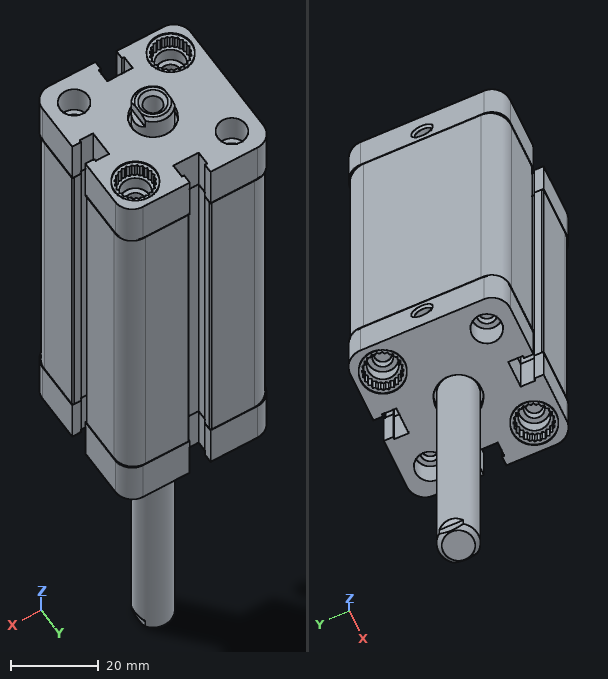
import cadquery as cq
import math

ROD_LENGTH = 201.0
ROD_TOP_PROJECTION = 5.8
HOUSING_LENGTH = 114.2
CAP_HEIGHT = 12.5
HOUSING_TOP = ROD_LENGTH - ROD_TOP_PROJECTION
HOUSING_CENTER = HOUSING_TOP - HOUSING_LENGTH / 2
BARREL_LENGTH = HOUSING_LENGTH - 2 * CAP_HEIGHT
BARREL_TOP = HOUSING_TOP - CAP_HEIGHT
BARREL_BOTTOM = BARREL_TOP - BARREL_LENGTH

CAP_WIDTH = 40.2
CAP_CORNER_RADIUS = 4.6
BARREL_WIDTH = 40.0
BARREL_CORNER_RADIUS = 5.2

SLOT_ANGLES = (0, 90, 270)
SLOT_FLOOR = CAP_WIDTH / 2 - 6.0
SLOT_LIP_DEPTH = 2.5
SLOT_MOUTH_WIDTH = 5.6
SLOT_INNER_WIDTH = 6.8
BARREL_MOUTH_CHAMFER = 0.5

ROD_DIAMETER = 10.0
ROD_TOP_CHAMFER = 0.8
ROD_BOTTOM_CHAMFER = 1.2
FLATS_WIDTH = 8.0
FLAT_LENGTH = 3.2
ROD_HOLE_DIAMETER = 4.8
ROD_HOLE_DEPTH = 12.0
ROD_HOLE_CHAMFER = 1.0

RECESS_DIAMETER = 11.5
RECESS_DEPTH = 2.0

CORNER_OFFSET = 13.0
CORNER_BORE_DIAMETER = 7.5
CORNER_BORE_DEPTH = 8.0
TAPER_TOP_DIAMETER = 4.8
TAPER_BOTTOM_DIAMETER = 4.2
TAPER_DEPTH = 2.0

TOOTH_COUNT = 24
TOOTH_ROOT_DIAMETER = 9.6
TOOTH_TIP_DIAMETER = 8.8
TOOTH_DEPTH = 4.0
SOCKET_STEP_DIAMETER = 11.0
SOCKET_STEP_DEPTH = 0.5

PORT_DIAMETER = 4.2
PORT_DEPTH = 8.0
PORT_CHAMFER = 0.6
PORT_FROM_END = 7.8


def disc(diameter, bottom, top, x=0.0, y=0.0):
    """Upright cylinder between two heights."""
    return cq.Workplane("XY", origin=(x, y, bottom)).circle(diameter / 2).extrude(top - bottom)


def cone(bottom_diameter, top_diameter, bottom, top, x=0.0, y=0.0):
    """Upright truncated cone between two heights."""
    base = cq.Vector(x, y, bottom)
    return cq.Workplane(cq.Solid.makeCone(bottom_diameter / 2, top_diameter / 2, top - bottom, base))


def prism(half_outline, bottom, top):
    """Upright prism from an outline on the +Y side of the X axis, mirrored to the -Y side."""
    other_half = [(x, -y) for x, y in reversed(half_outline)]
    plane = cq.Workplane("XY", origin=(0, 0, bottom))
    return plane.polyline(half_outline + other_half).close().extrude(top - bottom)


def cut_on_slot_sides(block, cutter):
    """Cut the block with a +X side cutter, turned to every side that has a slot."""
    for angle in SLOT_ANGLES:
        block = block.cut(cutter.rotate((0, 0, 0), (0, 0, 1), angle))
    return block


def slotted_block(width, corner_radius, bottom, top):
    """Rounded square block with slots on three sides and a hole that fits the rod."""
    block = cq.Workplane("XY", origin=(0, 0, bottom)).rect(width, width).extrude(top - bottom)
    block = block.edges("|Z").fillet(corner_radius)
    lip = CAP_WIDTH / 2 - SLOT_LIP_DEPTH
    slot_outline = [
        (SLOT_FLOOR, SLOT_INNER_WIDTH / 2),
        (lip, SLOT_INNER_WIDTH / 2),
        (lip, SLOT_MOUTH_WIDTH / 2),
        (width / 2, SLOT_MOUTH_WIDTH / 2),
    ]
    block = cut_on_slot_sides(block, prism(slot_outline, bottom, top))
    return block.cut(disc(ROD_DIAMETER, bottom, top))


def corner_hole(x, y):
    """Plain round hole with the tapered hole below it."""
    floor = HOUSING_TOP - CORNER_BORE_DEPTH
    bore = disc(CORNER_BORE_DIAMETER, floor, HOUSING_TOP, x, y)
    return bore.union(cone(TAPER_BOTTOM_DIAMETER, TAPER_TOP_DIAMETER, floor - TAPER_DEPTH, floor, x, y))


def toothed_socket(x, y):
    """Internally toothed socket below a shallow round step."""
    points = []
    for i in range(TOOTH_COUNT):
        for diameter, half_pitches in ((TOOTH_TIP_DIAMETER, 2 * i), (TOOTH_ROOT_DIAMETER, 2 * i + 1)):
            angle = math.pi * half_pitches / TOOTH_COUNT
            points.append((diameter / 2 * math.cos(angle), diameter / 2 * math.sin(angle)))
    plane = cq.Workplane("XY", origin=(x, y, HOUSING_TOP - TOOTH_DEPTH))
    socket = plane.polyline(points).close().extrude(TOOTH_DEPTH)
    return socket.union(disc(SOCKET_STEP_DIAMETER, HOUSING_TOP - SOCKET_STEP_DEPTH, HOUSING_TOP, x, y))


def port_hole():
    """Blind chamfered hole going in from the -X side."""
    mouth = cq.Vector(-CAP_WIDTH / 2, 0, HOUSING_TOP - PORT_FROM_END)
    inward = cq.Vector(1, 0, 0)
    radius = PORT_DIAMETER / 2
    bore = cq.Solid.makeCylinder(radius, PORT_DEPTH, mouth, inward)
    chamfer = cq.Solid.makeCone(radius + PORT_CHAMFER, radius, PORT_CHAMFER, mouth, inward)
    return cq.Workplane(bore.fuse(chamfer))


def make_end_cap(flip_angle):
    """End cap at the top of the housing, turned about the X direction through the housing centre."""
    cap = slotted_block(CAP_WIDTH, CAP_CORNER_RADIUS, BARREL_TOP, HOUSING_TOP)
    cap = cap.cut(disc(RECESS_DIAMETER, HOUSING_TOP - RECESS_DEPTH, HOUSING_TOP))
    for x in (-CORNER_OFFSET, CORNER_OFFSET):
        for y in (-CORNER_OFFSET, CORNER_OFFSET):
            cap = cap.cut(corner_hole(x, y))
            if x == y:
                cap = cap.cut(toothed_socket(x, y))
    cap = cap.cut(port_hole())
    return cap.rotate((0, 0, HOUSING_CENTER), (1, 0, HOUSING_CENTER), flip_angle)


def make_barrel():
    """Slotted barrel with bevelled slot mouths."""
    barrel = slotted_block(BARREL_WIDTH, BARREL_CORNER_RADIUS, BARREL_BOTTOM, BARREL_TOP)
    side = BARREL_WIDTH / 2
    bevel_outline = [
        (side - BARREL_MOUTH_CHAMFER, SLOT_MOUTH_WIDTH / 2),
        (side, SLOT_MOUTH_WIDTH / 2 + BARREL_MOUTH_CHAMFER),
    ]
    return cut_on_slot_sides(barrel, prism(bevel_outline, BARREL_BOTTOM, BARREL_TOP))


def flats_cutter():
    """Material outside the two flats at the lower rod end, with 45 degree run-outs."""
    flat = FLATS_WIDTH / 2
    outside = ROD_DIAMETER
    run_out_end = FLAT_LENGTH + outside - flat
    outline = [(flat, 0), (flat, FLAT_LENGTH), (outside, run_out_end), (outside, 0)]
    one_side = cq.Workplane("XZ").polyline(outline).close().extrude(ROD_DIAMETER, both=True)
    return one_side.union(one_side.mirror("YZ"))


def make_rod():
    rod = disc(ROD_DIAMETER, 0, ROD_LENGTH)
    rod = rod.faces(">Z").chamfer(ROD_TOP_CHAMFER)
    rod = rod.faces("<Z").chamfer(ROD_BOTTOM_CHAMFER)

    lower_flats = flats_cutter()
    upper_flats = lower_flats.mirror("XY").translate((0, 0, ROD_LENGTH))
    rod = rod.cut(lower_flats).cut(upper_flats)

    hole = disc(ROD_HOLE_DIAMETER, ROD_LENGTH - ROD_HOLE_DEPTH, ROD_LENGTH)
    mouth_diameter = ROD_HOLE_DIAMETER + 2 * ROD_HOLE_CHAMFER
    countersink = cone(ROD_HOLE_DIAMETER, mouth_diameter, ROD_LENGTH - ROD_HOLE_CHAMFER, ROD_LENGTH)
    return rod.cut(hole).cut(countersink)


end_caps = [make_end_cap(flip_angle) for flip_angle in (0, 180)]
barrel = make_barrel()
rod = make_rod()

result = cq.Compound.makeCompound([*[cap.val() for cap in end_caps], barrel.val(), rod.val()])